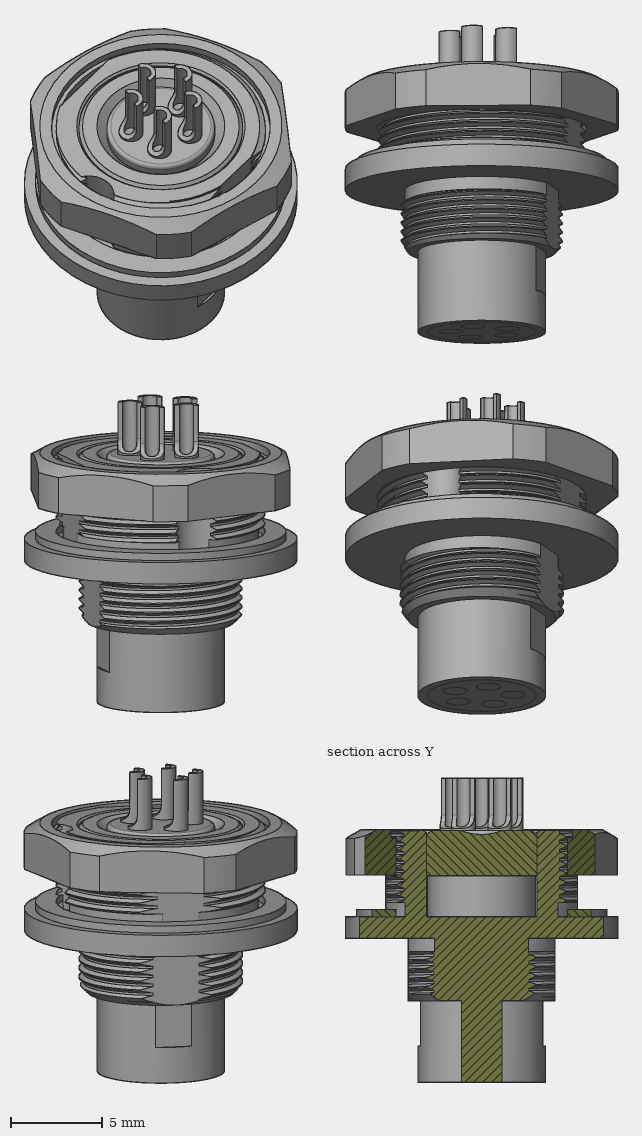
import cadquery as cq
import math


base_z = -9.1
flange_height = 1.2
gasket_height = 0.4
nut_bottom_z = 2.27
nut_height = 2.5
nut_top_z = nut_bottom_z + nut_height
housing_top_z = 4.73
pin_top_z = 7.6

thread_pitch = 0.5
crest_width = thread_pitch / 8
root_width = thread_pitch / 4
cutter_clearance = 0.2

upper_major_radius = 5.75
upper_minor_radius = 5.43
upper_neck_radius = 5.37
upper_neck_top_z = 0.77
upper_groove_phase_z = 0.675
upper_groove_start_angle = 45
upper_flat_distance = 5.27

lower_major_radius = 4.5
lower_minor_radius = 4.24
lower_neck_radius = 4.22
lower_neck_bottom_z = -1.92
lower_thread_bottom_z = -4.63
lower_groove_phase_z = -2.94
lower_groove_start_angle = 30
lower_flat_distance = 4.04
lower_chamfer = lower_major_radius - lower_flat_distance

flange_radius = 7.5
plug_radius = 3.51
plug_flat_distance = 3.36
plug_flat_bottom_z = base_z + 2.0
keyway_radius = 1.4
keyway_depth_y = -4.99

gasket_radius = 6.89
gasket_bore_radius = upper_major_radius
nut_corner_radius = 7.5
nut_across_flats = 13.85
nut_turn_angle = 43.9
nut_top_face_radius = 6.65
nut_chamfer_angle = 30
nut_recess_radius = 6.0
nut_recess_depth = 0.43

ring_radius = 4.5
ring_height = 2.5
ring_chamfer = 0.2
ring_mouth_radius = 3.51
ring_mouth_depth = 0.6
ring_seat_z = housing_top_z - ring_height
housing_mouth_chamfer = 0.12

insert_radius = 2.97
insert_top_z = nut_top_z - 0.03
insert_edge_fillet = 0.22

pin_count = 5
pin_circle_radius = 1.7
pin_radius = 0.66
cup_radius = 0.39
cup_floor_z = nut_top_z - 0.1
cup_tip_angle = 118
cup_opening_turn = -25
cup_opening_radius = 0.75
cup_opening_bottom_z = nut_top_z + 0.06


def cylinder(radius, bottom_z, top_z):
    return cq.Workplane("XY").workplane(offset=bottom_z).circle(radius).extrude(top_z - bottom_z)


def flatted_envelope(distance, bottom_z, top_z):
    """Block bounded by two parallel flats at X = +/- distance, wider along Y than any shell."""
    return (
        cq.Workplane("XY")
        .workplane(offset=bottom_z)
        .rect(2 * distance, 4 * flange_radius)
        .extrude(top_z - bottom_z)
    )


def thread_groove(major_radius, minor_radius, start_z, start_angle, turns):
    """Right-hand helical trapezoid groove.

    It begins at start_angle, on a helix whose centre line passes through start_z on the +X side.
    """
    mouth_width = thread_pitch - crest_width
    flank_slope = (mouth_width - root_width) / (major_radius - minor_radius)
    outer_radius = major_radius + cutter_clearance
    outer_width = root_width + flank_slope * (outer_radius - minor_radius)
    helix = cq.Wire.makeHelix(thread_pitch, turns * thread_pitch, minor_radius)
    profile = (
        cq.Workplane("XZ")
        .moveTo(minor_radius, -root_width / 2)
        .lineTo(outer_radius, -outer_width / 2)
        .lineTo(outer_radius, outer_width / 2)
        .lineTo(minor_radius, root_width / 2)
        .close()
    )
    groove = profile.sweep(cq.Workplane(obj=helix), isFrenet=True)
    start_rise = thread_pitch * start_angle / 360
    return groove.rotate((0, 0, 0), (0, 0, 1), start_angle).translate((0, 0, start_z + start_rise))


def neck_relief(neck_radius, bottom_z, top_z):
    """Ring of material removed around a neck."""
    return cylinder(flange_radius, bottom_z, top_z).cut(cylinder(neck_radius, bottom_z, top_z))


def make_upper_shell():
    tube = cylinder(upper_major_radius, 0, housing_top_z).cut(cylinder(ring_radius, 0, housing_top_z))
    turns = math.ceil((housing_top_z - upper_groove_phase_z) / thread_pitch) + 1
    start_z = upper_groove_phase_z - thread_pitch
    groove = thread_groove(upper_major_radius, upper_minor_radius, start_z, upper_groove_start_angle, turns)
    keyway = cylinder(keyway_radius, 0, housing_top_z).translate((0, keyway_depth_y - keyway_radius, 0))
    flats = flatted_envelope(upper_flat_distance, 0, housing_top_z)
    relief = neck_relief(upper_neck_radius, 0, upper_neck_top_z)
    return tube.cut(groove).cut(keyway).intersect(flats).cut(relief)


def make_lower_shell():
    top_z = -flange_height
    blank = cylinder(lower_major_radius, lower_thread_bottom_z, top_z)
    chamfered_blank = blank.faces("<Z").chamfer(lower_chamfer)
    turns_below_phase = math.ceil((lower_groove_phase_z - lower_thread_bottom_z) / thread_pitch)
    turns_above_phase = math.ceil((lower_neck_bottom_z - lower_groove_phase_z) / thread_pitch)
    turns = turns_below_phase + turns_above_phase
    start_z = lower_groove_phase_z - turns_below_phase * thread_pitch
    groove = thread_groove(lower_major_radius, lower_minor_radius, start_z, lower_groove_start_angle, turns)
    flats = flatted_envelope(lower_flat_distance, lower_thread_bottom_z, top_z)
    relief = neck_relief(lower_neck_radius, lower_neck_bottom_z, top_z)
    return blank.cut(groove).intersect(chamfered_blank).intersect(flats).cut(relief)


def make_plug_end():
    plain_end = cylinder(plug_radius, base_z, plug_flat_bottom_z)
    flatted_end = cylinder(plug_radius, plug_flat_bottom_z, lower_thread_bottom_z).intersect(
        flatted_envelope(plug_flat_distance, plug_flat_bottom_z, lower_thread_bottom_z)
    )
    return plain_end.union(flatted_end)


def make_housing():
    ring_bore = cylinder(ring_radius, ring_seat_z, housing_top_z)
    insert_bore = cylinder(insert_radius, base_z, ring_seat_z)
    mouth = cq.Workplane(
        obj=cq.Solid.makeCone(
            ring_radius,
            ring_radius + housing_mouth_chamfer,
            housing_mouth_chamfer,
            pnt=cq.Vector(0, 0, housing_top_z - housing_mouth_chamfer),
        )
    )
    return (
        cylinder(flange_radius, -flange_height, 0)
        .union(make_upper_shell())
        .union(make_lower_shell())
        .union(make_plug_end())
        .cut(ring_bore)
        .cut(insert_bore)
        .cut(mouth)
    )


def make_gasket():
    return cylinder(gasket_radius, 0, gasket_height).cut(cylinder(gasket_bore_radius, 0, gasket_height))


def make_nut():
    hexagon = (
        cq.Workplane("XY")
        .workplane(offset=nut_bottom_z)
        .polygon(6, nut_across_flats, circumscribed=True)
        .extrude(nut_height)
        .rotate((0, 0, 0), (0, 0, 1), nut_turn_angle)
    )
    chamfer_height = (nut_corner_radius - nut_top_face_radius) * math.tan(math.radians(nut_chamfer_angle))
    turned_blank = (
        cq.Workplane("XZ")
        .moveTo(0, nut_bottom_z)
        .lineTo(nut_corner_radius, nut_bottom_z)
        .lineTo(nut_corner_radius, nut_top_z - chamfer_height)
        .lineTo(nut_top_face_radius, nut_top_z)
        .lineTo(0, nut_top_z)
        .close()
        .revolve(360, (0, 0, 0), (0, 1, 0))
    )
    bore = cylinder(upper_major_radius, nut_bottom_z, nut_top_z)
    recess = cylinder(nut_recess_radius, nut_top_z - nut_recess_depth, nut_top_z)
    return hexagon.intersect(turned_blank).cut(bore).cut(recess)


def make_clamp_ring():
    return (
        cq.Workplane("XZ")
        .moveTo(insert_radius, ring_seat_z)
        .lineTo(ring_radius, ring_seat_z)
        .lineTo(ring_radius, housing_top_z - ring_chamfer)
        .lineTo(ring_radius - ring_chamfer, housing_top_z)
        .lineTo(ring_mouth_radius, housing_top_z)
        .lineTo(insert_radius, housing_top_z - ring_mouth_depth)
        .close()
        .revolve(360, (0, 0, 0), (0, 1, 0))
    )


def pin_positions():
    angles = [math.radians(90 + 360 / pin_count * index) for index in range(pin_count)]
    return [(pin_circle_radius * math.cos(a), pin_circle_radius * math.sin(a), 0) for a in angles]


def make_insert():
    insert = cylinder(insert_radius, base_z, insert_top_z).faces(">Z").edges().fillet(insert_edge_fillet)
    for position in pin_positions():
        insert = insert.cut(cylinder(pin_radius, base_z, insert_top_z).translate(position))
    return insert


def make_pin(position):
    tip_depth = cup_radius / math.tan(math.radians(cup_tip_angle / 2))
    cup = (
        cq.Workplane("XZ")
        .moveTo(0, cup_floor_z - tip_depth)
        .lineTo(cup_radius, cup_floor_z)
        .lineTo(cup_radius, pin_top_z)
        .lineTo(0, pin_top_z)
        .close()
        .revolve(360, (0, 0, 0), (0, 1, 0))
    )
    arc_center_z = cup_opening_bottom_z + cup_opening_radius
    arc_middle_offset = cup_opening_radius * math.sqrt(0.5)
    arc_middle = (arc_middle_offset - cup_opening_radius, arc_center_z - arc_middle_offset)
    opening = (
        cq.Workplane("YZ")
        .moveTo(0, pin_top_z)
        .lineTo(0, arc_center_z)
        .threePointArc(arc_middle, (-cup_opening_radius, cup_opening_bottom_z))
        .lineTo(-cup_opening_radius, pin_top_z)
        .close()
        .extrude(pin_radius, both=True)
        .rotate((0, 0, 0), (0, 0, 1), cup_opening_turn)
    )
    return cylinder(pin_radius, base_z, pin_top_z).cut(cup).cut(opening).translate(position)


housing = make_housing()
gasket = make_gasket()
nut = make_nut()
clamp_ring = make_clamp_ring()
insert = make_insert()
pins = [make_pin(position) for position in pin_positions()]

result = cq.Compound.makeCompound(
    [housing.val(), gasket.val(), nut.val(), clamp_ring.val(), insert.val()] + [pin.val() for pin in pins]
)